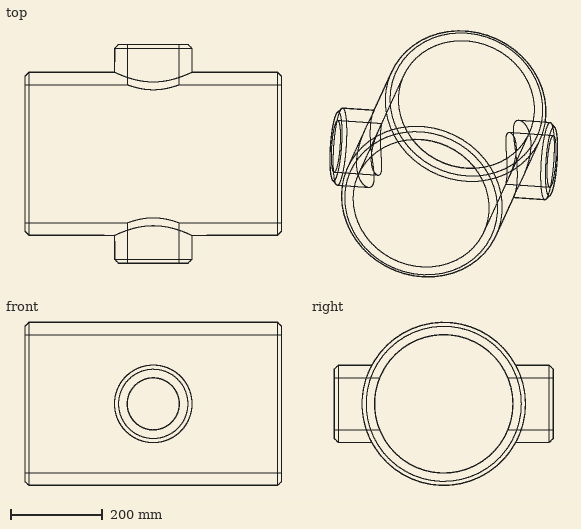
import cadquery as cq

pipe_length = 559.0
pipe_diameter = 355.5
pipe_bore = 300.5

branch_span = 476.5
branch_diameter = 169.0
branch_bore = 113.0

end_bevel = 9.0


def centred_cylinder(plane, diameter, length):
    """Solid cylinder centred on the origin, along the normal of the plane."""
    return cq.Workplane(plane).circle(diameter / 2).extrude(length / 2, both=True)


def bevelled_cylinder(plane, diameter, length):
    """Centred cylinder with both end edges bevelled."""
    return centred_cylinder(plane, diameter, length).edges("%CIRCLE").chamfer(end_bevel)


pipe = bevelled_cylinder("YZ", pipe_diameter, pipe_length)
branches = bevelled_cylinder("XZ", branch_diameter, branch_span)
body = pipe.union(branches)

pipe_passage = centred_cylinder("YZ", pipe_bore, pipe_length)
branch_passage = centred_cylinder("XZ", branch_bore, branch_span)
result = body.cut(pipe_passage).cut(branch_passage)